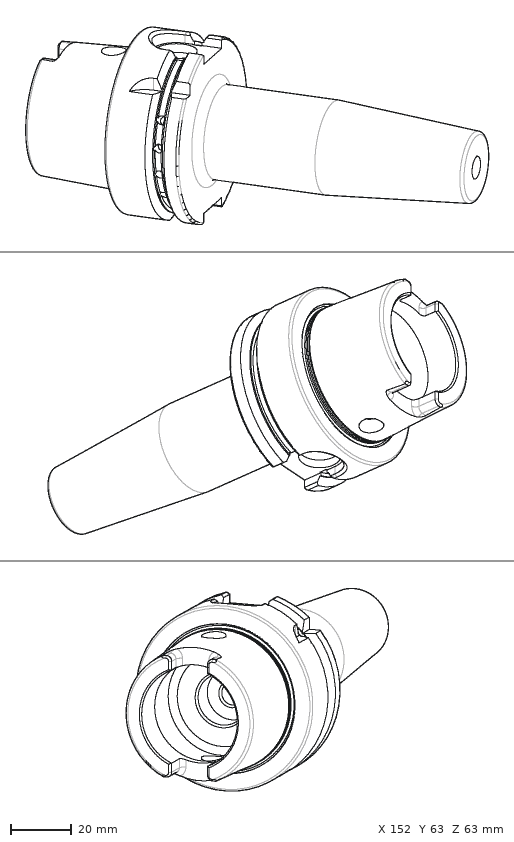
import cadquery as cq
import math


total_length = 152.0
flange_start = 31.8
flange_end = 58.0
taper_end = 29.6
nose_start = 100.8

tail_tip_radius = 22.6
tail_root_radius = 24.0
tail_rounding = 0.9
neck_radius = 23.9
neck_start = 30.1
neck_end = 30.7
collar_start = 31.2
recess_radius = 25.4
recess_floor_radius = 24.8
recess_depth = 0.8

flange_radius = 31.5
flange_rounding = 0.8
groove_centre = 49.7
groove_mouth_width = 6.8
groove_throat_width = 3.5
groove_floor_width = 2.6
groove_throat_radius = 28.7
groove_floor_radius = 27.5

shank_radius = 16.0
shank_fillet = 3.0
nose_tip_radius = 12.2
nose_rounding = 1.0

mouth_radius = 17.0
mouth_chamfer = 0.6
mouth_depth = 12.5
cavity_radius = 18.5
cavity_depth = 30.0
floor_rim_radius = 15.8
floor_rim_depth = 1.2
counterbore_radius = 9.5
counterbore_depth = 9.1
counterbore_chamfer = 0.8
through_radius = 3.8
through_chamfer = 0.8

slot_half_width = 6.4
slot_mouth_height = 20.7
slot_mouth_radius = 1.8
slot_corner_radius = 1.7
slot_edge_chamfer = 0.8
slot_reach = 30.4
upper_slot_depth = 6.2
lower_slot_depth = 9.5

cross_hole_position = 22.8
cross_hole_radius = 4.1

keyway_centre = 45.0
keyway_half_width = 8.0
keyway_floor = 26.5
keyway_chamfer = 1.0
chip_hole_radius = 7.0
chip_hole_depth = 3.0

notch_wall = 20.4
notch_floor = 19.8

balance_hole_radius = 1.45
balance_hole_depth = 3.0
balance_hole_first_angle = -35.5
balance_hole_pitch = 20.0
balance_hole_count = 4


def turned_body():
    """Outside of the holder, revolved about X."""
    profile = (
        cq.Workplane("XY")
        .moveTo(0, 0)
        .lineTo(0, tail_tip_radius - tail_rounding)
        .radiusArc((tail_rounding, tail_tip_radius), tail_rounding)
        .lineTo(taper_end, tail_root_radius)
        .lineTo(neck_start, neck_radius)
        .lineTo(neck_end, neck_radius)
        .lineTo(collar_start, tail_root_radius)
        .lineTo(flange_start, tail_root_radius)
        .lineTo(flange_start + recess_depth, recess_floor_radius)
        .lineTo(flange_start + recess_depth, recess_radius)
        .lineTo(flange_start, recess_radius)
        .lineTo(flange_start, flange_radius - flange_rounding)
        .radiusArc((flange_start + flange_rounding, flange_radius), flange_rounding)
        .lineTo(flange_end, flange_radius)
        .lineTo(flange_end, shank_radius + shank_fillet)
        .radiusArc((flange_end + shank_fillet, shank_radius), -shank_fillet)
        .lineTo(nose_start, shank_radius)
        .lineTo(total_length - nose_rounding, nose_tip_radius)
        .radiusArc((total_length, nose_tip_radius - nose_rounding), nose_rounding)
        .lineTo(total_length, 0)
        .close()
    )
    return profile.revolve(360, (0, 0, 0), (1, 0, 0))


def gripper_groove():
    """V-groove with a narrow flat-bottomed channel, revolved about X."""
    section = [
        (groove_mouth_width / 2, 2 * flange_radius),
        (groove_mouth_width / 2, flange_radius),
        (groove_throat_width / 2, groove_throat_radius),
        (groove_floor_width / 2, groove_throat_radius),
        (groove_floor_width / 2, groove_floor_radius),
    ]
    left_side = [(groove_centre - half_width, radius) for half_width, radius in section]
    right_side = [(groove_centre + half_width, radius) for half_width, radius in reversed(section)]
    profile = cq.Workplane("XY").polyline(left_side + right_side).close()
    return profile.revolve(360, (0, 0, 0), (1, 0, 0))


def rear_rounding():
    """Ring that rounds the flange edge next to the shank, revolved about X."""
    outer = 2 * flange_radius
    profile = (
        cq.Workplane("XY")
        .moveTo(flange_end - flange_rounding, outer)
        .lineTo(flange_end - flange_rounding, flange_radius)
        .radiusArc((flange_end, flange_radius - flange_rounding), flange_rounding)
        .lineTo(flange_end + flange_rounding, flange_radius - flange_rounding)
        .lineTo(flange_end + flange_rounding, outer)
        .close()
    )
    return profile.revolve(360, (0, 0, 0), (1, 0, 0))


def axial_cavity():
    """Clamping cavity, counterbore and through hole, revolved about X."""
    counterbore_end = cavity_depth + counterbore_depth
    profile = (
        cq.Workplane("XY")
        .moveTo(0, 0)
        .lineTo(0, mouth_radius + mouth_chamfer)
        .lineTo(mouth_chamfer, mouth_radius)
        .lineTo(mouth_depth, mouth_radius)
        .lineTo(mouth_depth, cavity_radius)
        .lineTo(cavity_depth - floor_rim_depth, cavity_radius)
        .lineTo(cavity_depth, floor_rim_radius)
        .lineTo(cavity_depth, counterbore_radius)
        .lineTo(cavity_depth + counterbore_chamfer, counterbore_radius - counterbore_chamfer)
        .lineTo(counterbore_end, counterbore_radius - counterbore_chamfer)
        .lineTo(counterbore_end, through_radius + through_chamfer)
        .lineTo(counterbore_end + through_chamfer, through_radius)
        .lineTo(total_length, through_radius)
        .lineTo(total_length, 0)
        .close()
    )
    return profile.revolve(360, (0, 0, 0), (1, 0, 0))


def slot_outline(position, offset):
    """Slot section with a flared mouth at a position along X, grown by the given offset."""
    half_width = slot_half_width + offset
    height = slot_mouth_height - offset
    radius = slot_mouth_radius - offset
    flare = half_width + radius
    return (
        cq.Workplane("YZ", origin=(position, 0, 0))
        .moveTo(-half_width, 0)
        .lineTo(-half_width, height - radius)
        .radiusArc((-flare, height), -radius)
        .lineTo(-slot_reach, height)
        .lineTo(-slot_reach, slot_reach)
        .lineTo(slot_reach, slot_reach)
        .lineTo(slot_reach, height)
        .lineTo(flare, height)
        .radiusArc((half_width, height - radius), -radius)
        .lineTo(half_width, 0)
        .close()
    )


def drive_slot(depth):
    """Slot into the open end on the +Z side, rounded in its blind corners."""
    slot = slot_outline(0, 0).extrude(depth)
    slot = slot.faces(">X").edges("not(<Z or >Z)").fillet(slot_corner_radius)
    wide_outline = slot_outline(0, slot_edge_chamfer).wire().val()
    narrow_outline = slot_outline(slot_edge_chamfer, 0).wire().val()
    edge_chamfer = cq.Solid.makeLoft([wide_outline, narrow_outline], True)
    return slot.union(cq.Workplane(edge_chamfer))


def cross_hole():
    """Round hole along Z through both walls of the tail."""
    return (
        cq.Workplane("XY")
        .center(cross_hole_position, 0)
        .circle(cross_hole_radius)
        .extrude(flange_radius, both=True)
    )


def keyway():
    """Round-ended keyway on the +Z side, open towards the shank, with a chip hole in its floor."""
    length = flange_end - keyway_centre
    base = cq.Workplane("XY", origin=(keyway_centre, 0, keyway_floor))
    height = flange_radius
    cutter = base.circle(keyway_half_width).extrude(height)
    cutter = cutter.union(
        base.center(length, 0).rect(2 * length, 2 * keyway_half_width).extrude(height)
    )
    chip_hole = base.circle(chip_hole_radius).extrude(-chip_hole_depth)
    return cutter.union(chip_hole)


def orientation_notch():
    """Corner notch on the -Y, +Z side with a milled round end."""
    mill_centre = -notch_wall - keyway_half_width
    length = flange_end - keyway_centre
    base = cq.Workplane("XY", origin=(keyway_centre, mill_centre, notch_floor))
    run_out = base.center(length / 2, 0).rect(length, 2 * keyway_half_width).extrude(flange_radius)
    return base.circle(keyway_half_width).extrude(flange_radius).union(run_out)


def balance_hole(angle):
    """Radial hole in the groove floor; the angle rises from -Y towards +Z."""
    hole = (
        cq.Workplane("XZ", origin=(groove_centre, -flange_radius, 0))
        .circle(balance_hole_radius)
        .extrude(-(flange_radius - groove_floor_radius + balance_hole_depth))
    )
    return hole.rotate((0, 0, 0), (1, 0, 0), -angle)


def flipped(shape):
    """The same shape turned to the -Z side."""
    return shape.rotate((0, 0, 0), (1, 0, 0), 180)


def chamfer_keyway_rim(body, side):
    """Chamfer the edges where a keyway meets the flange surface; side is +1 for +Z, -1 for -Z."""
    clearance = 1.5
    reach = keyway_half_width + clearance
    rim_low = math.sqrt(flange_radius**2 - keyway_half_width**2) - clearance / 10
    rim = cq.selectors.BoxSelector(
        (keyway_centre - reach, -reach, side * rim_low),
        (flange_end + clearance, reach, side * (flange_radius + clearance)),
    )
    return body.edges(rim).chamfer(keyway_chamfer)


result = turned_body()
result = result.cut(keyway()).cut(flipped(keyway()))
result = chamfer_keyway_rim(result, 1)
result = chamfer_keyway_rim(result, -1)
result = result.cut(gripper_groove()).cut(rear_rounding())
result = result.cut(axial_cavity())
result = result.cut(drive_slot(upper_slot_depth)).cut(flipped(drive_slot(lower_slot_depth)))
result = result.cut(cross_hole())
result = result.cut(orientation_notch())
for index in range(balance_hole_count):
    result = result.cut(balance_hole(balance_hole_first_angle + index * balance_hole_pitch))